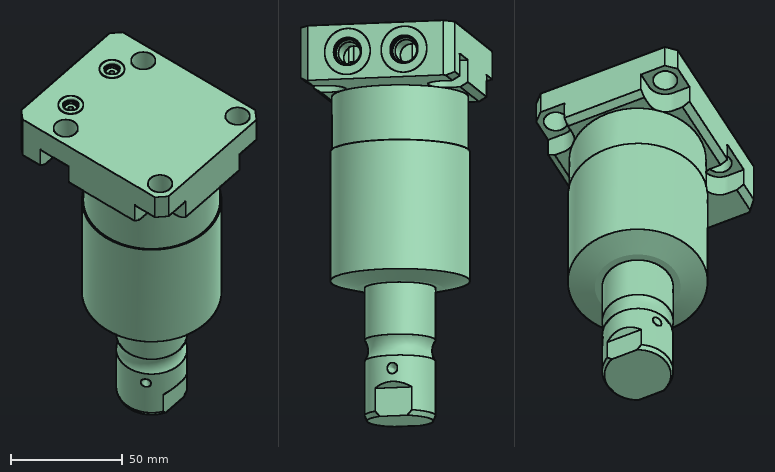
import cadquery as cq
import math


overall_height = 173.4

plate_left = -50.1
plate_length = 85.5
plate_width = 70.9
plate_height = 25.0
plate_bottom = 147.7
plate_top = plate_bottom + plate_height
plate_right = plate_left + plate_length
corner_chamfer = 4.3
rim_bevel_inset = 3.5
rim_bevel_height = 2.0

bolt_offset = 27.4
bolt_diameter = 11.0
head_diameter = 16.5
head_depth = 12.1

port_offset = 13.0
port_height = plate_bottom + plate_height / 2
port_diameter = 10.0
port_depth = 15.0
thread_diameter = 11.8
thread_depth = 3.3
port_mouth_diameter = 12.8
spotface_diameter = 21.0
spotface_depth = 0.2

seal_x = plate_left + port_depth
seal_offset = 14.5
seal_seat_diameter = 11.3
seal_seat_depth = 1.2
seal_cord_diameter = 2.0
seal_protrusion = overall_height - plate_top
well_diameter = 5.9
well_depth = 2.5
drill_diameter = 2.3
drill_depth = 14.5

neck_radius = 61.4 / 2
barrel_radius = 62.8 / 2
barrel_top = 122.8
barrel_bottom = 63.8
cone_radius = 19.2
cone_bottom = 60.5

rod_radius = 31.9 / 2
groove_top = 36.8
groove_bottom = 27.2
groove_depth = 1.5
tip_chamfer_radial = 1.0
tip_chamfer_height = 2.5
flats_width = 27.0
flats_top = 12.8
dimple_height = 21.3
dimple_radius = 2.51
dimple_angles = (60, 180, 300)


def make_plate():
    plate = (
        cq.Workplane("XY", origin=(0, 0, plate_bottom))
        .center((plate_left + plate_right) / 2, 0)
        .rect(plate_length, plate_width)
        .extrude(plate_height)
        .edges("|Z")
        .chamfer(corner_chamfer)
    )
    half_width = plate_width / 2
    side_bevel = (
        cq.Workplane("YZ", origin=(plate_left, 0, 0))
        .moveTo(half_width, plate_bottom)
        .lineTo(half_width, plate_bottom + rim_bevel_height)
        .lineTo(half_width - rim_bevel_inset, plate_bottom)
        .close()
        .extrude(plate_length)
    )
    end_bevel = (
        cq.Workplane("XZ", origin=(0, half_width, 0))
        .moveTo(plate_right, plate_bottom)
        .lineTo(plate_right, plate_bottom + rim_bevel_height)
        .lineTo(plate_right - rim_bevel_inset, plate_bottom)
        .close()
        .extrude(plate_width)
    )
    return plate.cut(side_bevel).cut(side_bevel.mirror("XZ")).cut(end_bevel)


def head_pocket(x, side, open_end):
    """Bolt head pocket running out through the side at side * Y, and at +X if open_end is true."""
    head_radius = head_diameter / 2
    run_out = plate_width

    def slot(x_from, x_to, y_from, y_to):
        block = cq.Workplane("XY").box(x_to - x_from, y_to - y_from, head_depth, centered=False)
        return block.translate((x_from, y_from, 0))

    pocket = cq.Workplane("XY").circle(head_radius).extrude(head_depth)
    pocket = pocket.union(slot(-head_radius, head_radius, 0, run_out))
    if open_end:
        pocket = pocket.union(slot(0, run_out, -head_radius, run_out))
    if side < 0:
        pocket = pocket.mirror("XZ")
    return pocket.translate((x, side * bolt_offset, plate_bottom))


def cut_bolt_holes(plate):
    for side in (-1, 1):
        plate = plate.cut(head_pocket(-bolt_offset, side, open_end=False))
        plate = plate.cut(head_pocket(bolt_offset, side, open_end=True))
    return (
        plate.faces(">Z")
        .workplane(origin=(0, 0, plate_top))
        .rect(2 * bolt_offset, 2 * bolt_offset, forConstruction=True)
        .vertices()
        .hole(bolt_diameter)
    )


def side_port(y):
    """Stepped bore with a shallow spotface and 45 degree steps, entering from the -X side."""
    port_radius = port_diameter / 2
    thread_radius = thread_diameter / 2
    mouth_radius = port_mouth_diameter / 2
    profile = [
        (0, 0),
        (0, spotface_diameter / 2),
        (spotface_depth, spotface_diameter / 2),
        (spotface_depth, mouth_radius),
        (spotface_depth + mouth_radius - thread_radius, thread_radius),
        (thread_depth, thread_radius),
        (thread_depth + thread_radius - port_radius, port_radius),
        (port_depth, port_radius),
        (port_depth, 0),
    ]
    return (
        cq.Workplane("XY", origin=(plate_left, y, port_height))
        .polyline(profile)
        .close()
        .revolve(360, (0, 0), (1, 0))
    )


def top_port(y):
    """Seal seat with a well and a narrow drilling down into the side port."""
    top = cq.Workplane("XY", origin=(seal_x, y, plate_top))
    seat = top.circle(seal_seat_diameter / 2).extrude(-seal_seat_depth)
    well = top.circle(well_diameter / 2).extrude(-well_depth)
    drilling = top.circle(drill_diameter / 2).extrude(-drill_depth)
    return seat.union(well).union(drilling)


def seal_ring(y):
    cord_radius = seal_cord_diameter / 2
    ring_radius = seal_seat_diameter / 2 - cord_radius
    return (
        cq.Workplane("XZ", origin=(seal_x, y, plate_top + seal_protrusion - cord_radius))
        .center(ring_radius, 0)
        .circle(cord_radius)
        .revolve(360, (-ring_radius, 0), (-ring_radius, 1))
    )


def make_barrel_and_rod():
    return (
        cq.Workplane("XZ")
        .moveTo(0, plate_bottom)
        .lineTo(0, 0)
        .lineTo(rod_radius - tip_chamfer_radial, 0)
        .lineTo(rod_radius, tip_chamfer_height)
        .lineTo(rod_radius, groove_bottom)
        .threePointArc(
            (rod_radius - groove_depth, (groove_bottom + groove_top) / 2),
            (rod_radius, groove_top),
        )
        .lineTo(rod_radius, cone_bottom)
        .lineTo(cone_radius, cone_bottom)
        .lineTo(barrel_radius, barrel_bottom)
        .lineTo(barrel_radius, barrel_top)
        .lineTo(neck_radius, barrel_top)
        .lineTo(neck_radius, plate_bottom)
        .close()
        .revolve(360, (0, 0), (0, 1))
    )


def cut_flats(body):
    """Wrench flats on the -X and +X sides, ending in a 45 degree ramp."""
    half_width = flats_width / 2
    ramp = 2 * (rod_radius - half_width)
    flat = (
        cq.Workplane("XZ", origin=(0, rod_radius, 0))
        .moveTo(half_width, 0)
        .lineTo(half_width, flats_top)
        .lineTo(half_width + ramp, flats_top + ramp)
        .lineTo(half_width + ramp, 0)
        .close()
        .extrude(2 * rod_radius)
    )
    return body.cut(flat).cut(flat.mirror("YZ"))


def cut_dimples(body):
    """Right-angled conical dimples around the rod."""
    for angle in dimple_angles:
        outward = cq.Vector(math.cos(math.radians(angle)), math.sin(math.radians(angle)), 0)
        apex_radius = rod_radius - dimple_radius
        apex = outward * apex_radius + cq.Vector(0, 0, dimple_height)
        cone = cq.Solid.makeCone(0, 2 * dimple_radius, 2 * dimple_radius, apex, outward)
        body = body.cut(cq.Workplane(cone))
    return body


plate = cut_bolt_holes(make_plate())
for side in (-1, 1):
    plate = plate.cut(side_port(side * port_offset))
    plate = plate.cut(top_port(side * seal_offset))
    plate = plate.union(seal_ring(side * seal_offset))

body = cut_dimples(cut_flats(make_barrel_and_rod()))
result = plate.union(body)